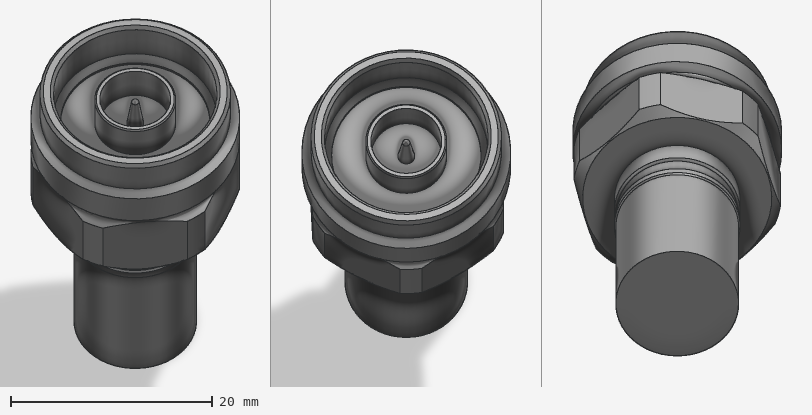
import cadquery as cq
import math

TOTAL_LENGTH = 36.6
TAIL_TOP = 14.53
LOWER_BAND_BOTTOM = 14.7
LOWER_BAND_TOP = 15.45
RING_GROOVE_BOTTOM = 15.6
RING_GROOVE_TOP = 17.3
UPPER_BAND_BOTTOM = 17.53
UPPER_BAND_TOP = 19.87
HEX_BOTTOM = 20.05
HEX_LOWER_CORNER = 21.1
HEX_UPPER_CORNER = 27.2
HEX_SHOULDER = 27.52
NECK_WAIST = 28.1
NECK_TOP = 28.55
COLLAR_BOTTOM = 29.05
COLLAR_TOP = 32.55
SLEEVE_BOTTOM = 32.98

TAIL_RADIUS = 6.1
BAND_RADIUS = 6.25
RING_GROOVE_RADIUS = 6.0
UNDERCUT_RADIUS = 5.93
COLLAR_RADIUS = 10.4
SLEEVE_RADIUS = 9.48
WAIST_RADIUS = 9.35
HEX_BOTTOM_RADIUS = 9.4
HEX_SHOULDER_RADIUS = 9.75
HEX_ACROSS_FLATS = 19.0

RIM_CHAMFER = 0.33
SOCKET_RADIUS = 8.13
SOCKET_SEAT_TOP = 32.43
SOCKET_SEAT_BOTTOM = 31.85
SOCKET_FLOOR = 31.6
SOCKET_FLOOR_RADIUS = 7.43

TUBE_TOP = 35.43
TUBE_RADIUS = 4.03
TUBE_BORE_RADIUS = 3.5
TUBE_CHAMFER = 0.15
TUBE_FLOOR = SOCKET_FLOOR
PIN_BASE_RADIUS = 0.85
PIN_SHOULDER_RADIUS = 0.35
PIN_SHOULDER = 34.95
PIN_TIP = 35.35


def revolve_outline(outline):
    """Close a (radius, height) outline and turn it about the Z axis."""
    return outline.close().revolve(360, (0, 0), (0, 1))


def revolve_points(points):
    """Turn a straight-sided (radius, height) outline about the Z axis."""
    return revolve_outline(cq.Workplane("XZ").polyline(points))


def flare_radius(rise, spread):
    """Radius of an arc that leaves the waist vertically and widens by `spread` over `rise`."""
    return (rise**2 + spread**2) / (2 * spread)


def make_tail():
    """Solid tail with two bands, the ring groove between them and an undercut below the hex."""
    return revolve_points([
        (0, 0),
        (TAIL_RADIUS, 0),
        (TAIL_RADIUS, TAIL_TOP),
        (BAND_RADIUS, LOWER_BAND_BOTTOM),
        (BAND_RADIUS, LOWER_BAND_TOP),
        (UNDERCUT_RADIUS, LOWER_BAND_TOP),
        (UNDERCUT_RADIUS, RING_GROOVE_BOTTOM),
        (RING_GROOVE_RADIUS, RING_GROOVE_BOTTOM),
        (RING_GROOVE_RADIUS, RING_GROOVE_TOP),
        (BAND_RADIUS, UPPER_BAND_BOTTOM),
        (BAND_RADIUS, UPPER_BAND_TOP),
        (UNDERCUT_RADIUS, UPPER_BAND_TOP),
        (UNDERCUT_RADIUS, HEX_BOTTOM),
        (0, HEX_BOTTOM),
    ])


def make_hex():
    """Hexagonal grip with coned corners, up to the waist of the neck."""
    flare = flare_radius(NECK_WAIST - HEX_SHOULDER, HEX_SHOULDER_RADIUS - WAIST_RADIUS)
    blank = revolve_outline(
        cq.Workplane("XZ")
        .polyline([
            (0, NECK_WAIST),
            (0, HEX_BOTTOM),
            (HEX_BOTTOM_RADIUS, HEX_BOTTOM),
            (COLLAR_RADIUS, HEX_LOWER_CORNER),
            (COLLAR_RADIUS, HEX_UPPER_CORNER),
            (HEX_SHOULDER_RADIUS, HEX_SHOULDER),
        ])
        .radiusArc((WAIST_RADIUS, NECK_WAIST), flare)
    )
    corner_diameter = HEX_ACROSS_FLATS / math.cos(math.radians(30))
    prism = (
        cq.Workplane("XY", origin=(0, 0, HEX_BOTTOM))
        .transformed(rotate=(0, 0, 90))
        .polygon(6, corner_diameter)
        .extrude(NECK_WAIST - HEX_BOTTOM)
    )
    return blank.intersect(prism)


def make_collar_and_sleeve():
    """Neck, collar and socket sleeve, with the contact tube and pin standing on the floor."""
    flare = flare_radius(NECK_TOP - NECK_WAIST, SLEEVE_RADIUS - WAIST_RADIUS)
    outline = (
        cq.Workplane("XZ")
        .moveTo(0, NECK_WAIST)
        .lineTo(WAIST_RADIUS, NECK_WAIST)
        .radiusArc((SLEEVE_RADIUS, NECK_TOP), flare)
    )
    wall_points = [
        (COLLAR_RADIUS, COLLAR_BOTTOM),
        (COLLAR_RADIUS, COLLAR_TOP),
        (SLEEVE_RADIUS, SLEEVE_BOTTOM),
        (SLEEVE_RADIUS, TOTAL_LENGTH - RIM_CHAMFER),
        (SLEEVE_RADIUS - RIM_CHAMFER, TOTAL_LENGTH),
        (SOCKET_RADIUS + RIM_CHAMFER, TOTAL_LENGTH),
        (SOCKET_RADIUS, TOTAL_LENGTH - RIM_CHAMFER),
        (SOCKET_RADIUS, SOCKET_SEAT_TOP),
        (SOCKET_FLOOR_RADIUS, SOCKET_SEAT_BOTTOM),
        (SOCKET_FLOOR_RADIUS, SOCKET_FLOOR),
        (TUBE_RADIUS, SOCKET_FLOOR),
        (TUBE_RADIUS, TUBE_TOP - TUBE_CHAMFER),
        (TUBE_RADIUS - TUBE_CHAMFER, TUBE_TOP),
        (TUBE_BORE_RADIUS, TUBE_TOP),
        (TUBE_BORE_RADIUS, TUBE_FLOOR),
        (PIN_BASE_RADIUS, TUBE_FLOOR),
        (PIN_SHOULDER_RADIUS, PIN_SHOULDER),
        (0, PIN_TIP),
    ]
    for radius, height in wall_points:
        outline = outline.lineTo(radius, height)
    return revolve_outline(outline)


result = make_tail().union(make_hex()).union(make_collar_and_sleeve())